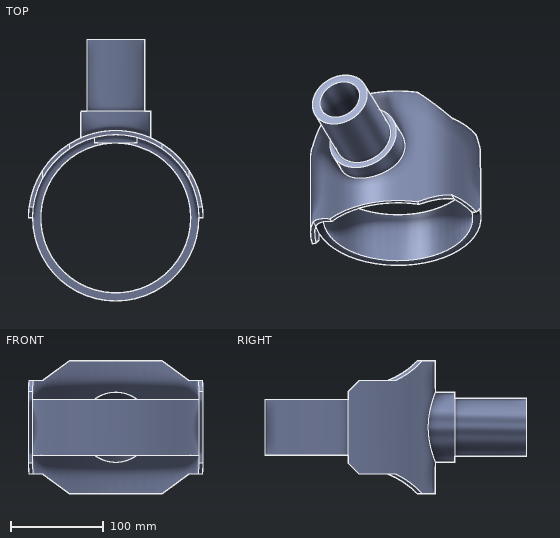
import cadquery as cq
import math

ring_outer_radius = 90.0
ring_inner_radius = 81.0
ring_height = 60.5

saddle_outer_radius = 94.5
saddle_height = 144.0
saddle_half_height = saddle_height / 2
saddle_side_half_height = 50.7
saddle_crown_half_width = 50.0
saddle_shoulder_half_width = 79.2
saddle_end_chamfer = 12.0

overall_length = 283.0
pipe_end = overall_length - ring_outer_radius
pipe_radius = 62.8 / 2
bore_radius = 45.3 / 2
collar_radius = 75.8 / 2
collar_outer_end = 115.5
collar_inner_end = 81.2
collar_dish_angle = 20.0


def vertical_cylinder(radius, height):
    """Cylinder about Z, centred on the XY plane."""
    return cq.Workplane("XY", origin=(0, 0, -height / 2)).circle(radius).extrude(height)


def branch_cylinder(radius, start, end):
    """Cylinder about Y from one Y position to another."""
    return cq.Workplane("XZ", origin=(0, start, 0)).circle(radius).extrude(start - end)


def make_saddle():
    """Half shell hugging the ring, trimmed to its raised crown and chamfered ends."""
    shell = vertical_cylinder(saddle_outer_radius, saddle_height)
    shell = shell.cut(vertical_cylinder(ring_outer_radius, saddle_height))

    upper_outline = [
        (-saddle_outer_radius, saddle_side_half_height),
        (-saddle_shoulder_half_width, saddle_side_half_height),
        (-saddle_crown_half_width, saddle_half_height),
        (saddle_crown_half_width, saddle_half_height),
        (saddle_shoulder_half_width, saddle_side_half_height),
        (saddle_outer_radius, saddle_side_half_height),
    ]
    lower_outline = [(x, -z) for x, z in reversed(upper_outline)]
    crown = cq.Workplane("XZ").polyline(upper_outline + lower_outline).close()
    saddle = shell.intersect(crown.extrude(-saddle_outer_radius))

    for side in (1, -1):
        corner = side * saddle_side_half_height
        chamfer_outline = [
            (0, corner),
            (saddle_end_chamfer, corner),
            (0, corner - side * saddle_end_chamfer),
        ]
        prism = cq.Workplane("YZ").polyline(chamfer_outline).close()
        saddle = saddle.cut(prism.extrude(saddle_outer_radius, both=True))
    return saddle


def make_collar():
    """Collar whose inner end is dished by a cone running from its rim down to the bore."""
    collar = branch_cylinder(collar_radius, collar_inner_end, collar_outer_end)
    dish_depth = (collar_radius - bore_radius) * math.tan(math.radians(collar_dish_angle))
    dish_outline = [
        (0, collar_inner_end),
        (collar_radius, collar_inner_end),
        (bore_radius, collar_inner_end + dish_depth),
        (0, collar_inner_end + dish_depth),
    ]
    dish = cq.Workplane("XY").polyline(dish_outline).close()
    return collar.cut(dish.revolve(360, (0, 0), (0, 1)))


ring = vertical_cylinder(ring_outer_radius, ring_height)
ring = ring.cut(vertical_cylinder(ring_inner_radius, ring_height))
pipe = branch_cylinder(pipe_radius, collar_outer_end, pipe_end)

bore = branch_cylinder(bore_radius, 0, pipe_end)

result = ring.union(make_saddle()).union(make_collar()).union(pipe).cut(bore)